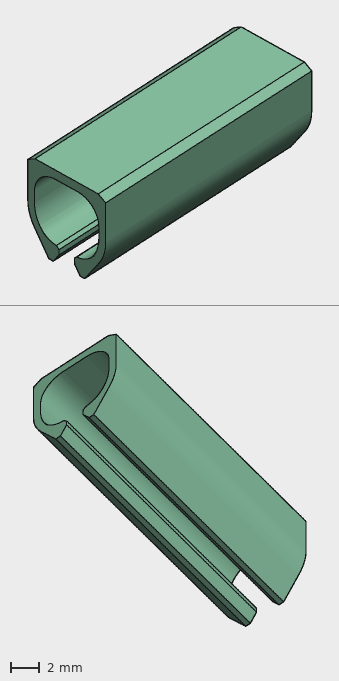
import cadquery as cq
import math

width = 7.4
length = 21.0
height = 8.0

top_chamfer_width = 0.7
top_chamfer_height = 0.42
arc_center_z = 4.1
leg_angle = math.radians(34)

roof_thickness = 0.8
wall_thickness = 0.65
roof_radius = 2.0
blend_radius = 2.0

slot_width = 1.45
lip_bottom_z = 0.82
lip_top_z = 1.28
lip_chamfer_width = 0.25

half_width = width / 2
half_bore = half_width - wall_thickness
half_slot = slot_width / 2
bore_top_z = height - roof_thickness


def arc_point(center_x, center_z, radius, angle):
    """Point on a circle, with the angle measured from +X toward +Z."""
    return (center_x + radius * math.cos(angle), center_z + radius * math.sin(angle))


def half_profile():
    """Closed outline of the +X half of the cross-section, in X and Z."""
    outer_radius = half_width
    leg_start = arc_point(0, arc_center_z, outer_radius, -leg_angle)
    leg_tip_x = leg_start[0] - leg_start[1] * math.tan(leg_angle)
    lead_in_x = half_slot + lip_bottom_z * math.tan(leg_angle)

    blend_start = arc_point(0, arc_center_z, half_bore, -leg_angle)
    blend_center = arc_point(0, arc_center_z, half_bore - blend_radius, -leg_angle)
    lip_edge_x = half_slot + lip_chamfer_width
    lip_edge_angle = -math.acos((lip_edge_x - blend_center[0]) / blend_radius)
    lip_edge = arc_point(*blend_center, blend_radius, lip_edge_angle)
    blend_mid_angle = (lip_edge_angle - leg_angle) / 2

    roof_center_x = half_bore - roof_radius
    roof_center_z = bore_top_z - roof_radius

    return (
        cq.Workplane("XZ")
        .moveTo(0, height)
        .lineTo(half_width - top_chamfer_width, height)
        .lineTo(half_width, height - top_chamfer_height)
        .lineTo(half_width, arc_center_z)
        .threePointArc(arc_point(0, arc_center_z, outer_radius, -leg_angle / 2), leg_start)
        .lineTo(leg_tip_x, 0)
        .lineTo(lead_in_x, 0)
        .lineTo(half_slot, lip_bottom_z)
        .lineTo(half_slot, lip_top_z)
        .lineTo(*lip_edge)
        .threePointArc(arc_point(*blend_center, blend_radius, blend_mid_angle), blend_start)
        .threePointArc(
            arc_point(0, arc_center_z, half_bore, -leg_angle / 2),
            (half_bore, arc_center_z),
        )
        .lineTo(half_bore, roof_center_z)
        .threePointArc(
            arc_point(roof_center_x, roof_center_z, roof_radius, math.pi / 4),
            (roof_center_x, bore_top_z),
        )
        .lineTo(0, bore_top_z)
        .close()
    )


half_body = half_profile().extrude(length / 2, both=True)
result = half_body.union(half_body.mirror("YZ")).clean()